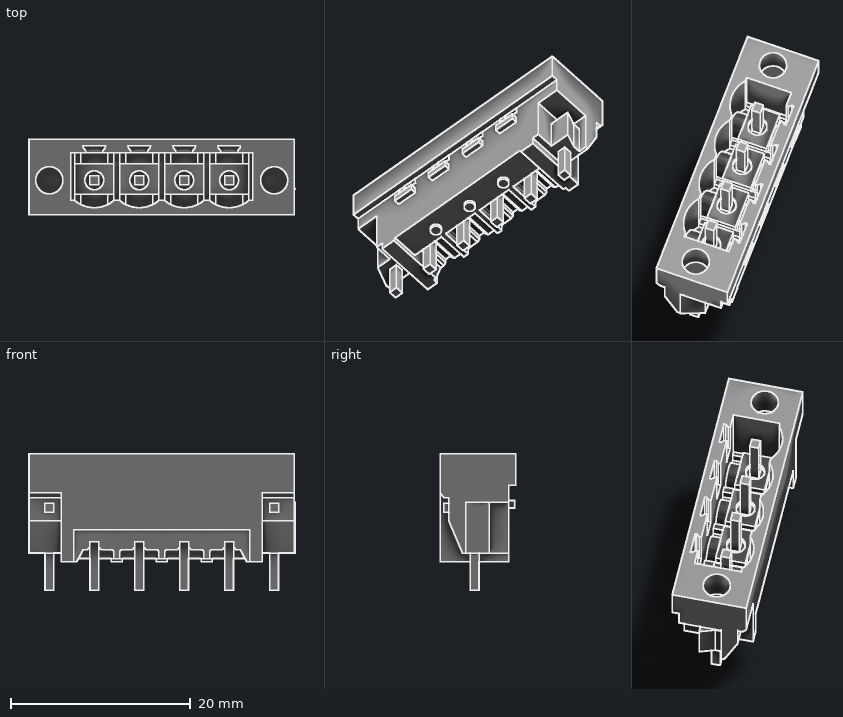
import cadquery as cq
import math


contact_count = 4
pitch = 5.0
pin_size = 1.0
pin_y = 3.85
pin_tip_z = -3.17
contact_top_z = 11.1
end_pin_x = pitch * (contact_count + 1) / 2
end_pin_top_z = 6.55
end_pin_front_y = 0.4
pin_back_y = pin_y + pin_size / 2

housing_width = 29.55
housing_depth = 8.45
housing_height = 12.05
half_width = housing_width / 2
core_half_width = 11.2
lower_back_y = 7.67
overhang_z = 8.5

end_bottom_z = 0.98
chamfer_top_z = 7.67
plate_top_z = 7.13
plate_bend_z = 4.55
chamfer_y = 0.45
plate_front_y = 0.98
plate_toe_y = 2.5
plate_back_y = 2.85
recess_top_z = 6.63
recess_floor_x = end_pin_x - pin_size / 2

retainer_top_z = 5.03
retainer_bend_y = 3.73
retainer_back_y = 5.45
retainer_inset = 0.95
retainer_back_inset = 0.35
tip_overhang = 0.05

screw_hole_diameter = 3.02
screw_hole_depth = 4.0

cavity_half_width = 10.12
cavity_front_y = 1.6
cavity_back_y = 6.9
rib_top_z = 4.6
cell_floor_z = 3.55
cell_width = 4.35
bulge_front_y = 0.8
hump_radius = 1.5
block_front_y = 2.3
block_back_y = 5.68
block_top_z = 5.48
socket_diameter = 2.1
socket_depth = 0.5

slot_mouth_width = 1.85
slot_back_width = 2.45
slot_neck_y = 7.13
slot_flare_y = 7.45
slot_floor_z = 7.75
lug_top_z = 6.85
lug_bottom_z = 5.98
lug_back_y = 8.32

panel_depth = 0.55
panel_half_width = 9.77
panel_top_z = 3.55
front_bottom_z = 1.33
back_bottom_z = 0.35
foot_toe_half_width = 9.45
foot_root_half_width = 8.75
prong_width = 0.65
prong_fillet = 0.25
notch_top_z = 2.22
notch_chamfer = 0.3
post_diameter = 1.25
post_y = 5.62

contact_xs = [(i - (contact_count - 1) / 2) * pitch for i in range(contact_count)]
gap_xs = [(left + right) / 2 for left, right in zip(contact_xs, contact_xs[1:])]


def box(x_range, y_range, z_range):
    """Box given by its limits along each axis."""
    lengths = [high - low for low, high in (x_range, y_range, z_range)]
    corner = (x_range[0], y_range[0], z_range[0])
    return cq.Workplane("XY").box(*lengths, centered=False).translate(corner)


def centered_box(x, width, y_range, z_range):
    """Box centred on x, with limits along Y and Z."""
    return box((x - width / 2, x + width / 2), y_range, z_range)


def plan_prism(points, z_range):
    """Prism with a polygon in the XY plane."""
    plane = cq.Workplane("XY").workplane(offset=z_range[0])
    return plane.polyline(points).close().extrude(z_range[1] - z_range[0])


def front_prism(points, y_range):
    """Prism with a polygon in the XZ plane."""
    plane = cq.Workplane("XZ", origin=(0, y_range[0], 0))
    return plane.polyline(points).close().extrude(y_range[0] - y_range[1])


def upright_cylinder(x, y, diameter, z_range):
    """Vertical cylinder between two heights."""
    plane = cq.Workplane("XY", origin=(x, y, z_range[0]))
    return plane.circle(diameter / 2).extrude(z_range[1] - z_range[0])


def make_contact_pin(x):
    """Straight square pin from below the board up into the cavity."""
    y_range = (pin_y - pin_size / 2, pin_back_y)
    return centered_box(x, pin_size, y_range, (pin_tip_z, contact_top_z))


def make_end_pin(x):
    """Square pin bent forward at its top, so that its end pokes out of the front plate."""
    leg = centered_box(x, pin_size, (pin_y - pin_size / 2, pin_back_y), (pin_tip_z, end_pin_top_z))
    arm_z = (end_pin_top_z - pin_size, end_pin_top_z)
    return leg.union(centered_box(x, pin_size, (end_pin_front_y, pin_back_y), arm_z))


def make_core():
    """Middle part of the housing, down to the board."""
    return box((-core_half_width, core_half_width), (0, lower_back_y), (0, housing_height))


def make_end_profile():
    """Full-width bar whose side profile has the overhang at the back and the slanted front plate."""
    profile = [
        (0, housing_height),
        (housing_depth, housing_height),
        (housing_depth, overhang_z),
        (lower_back_y, overhang_z),
        (lower_back_y, end_bottom_z),
        (plate_toe_y, end_bottom_z),
        (plate_front_y, plate_bend_z),
        (plate_front_y, plate_top_z),
        (chamfer_y, plate_top_z),
        (0, chamfer_top_z),
    ]
    plane = cq.Workplane("YZ", origin=(-half_width, 0, 0))
    return plane.polyline(profile).close().extrude(housing_width)


def make_side_recess(side):
    """Space behind a front plate, open at the side, the back and the bottom."""
    x_range = sorted((side * recess_floor_x, side * half_width))
    return box(x_range, (plate_back_y, lower_back_y), (end_bottom_z, recess_top_z))


def make_left_retainer():
    """Block around the left end pin with a flat and then a slanted outer face."""
    outline = [
        (-recess_floor_x, plate_back_y),
        (-half_width + retainer_inset, plate_back_y),
        (-half_width + retainer_inset, retainer_bend_y),
        (-half_width + retainer_back_inset, retainer_back_y),
        (-recess_floor_x, retainer_back_y),
    ]
    return plan_prism(outline, (end_bottom_z, retainer_top_z))


def make_right_retainer():
    """Block around the right end pin that tapers back from a tip just outside the front plate."""
    outline = [
        (recess_floor_x, plate_back_y),
        (half_width + tip_overhang, plate_back_y),
        (half_width - retainer_inset, retainer_back_y),
        (recess_floor_x, retainer_back_y),
    ]
    return plan_prism(outline, (end_bottom_z, recess_top_z))


def make_mouth():
    """Open part of the cavity above the ribs between the cells."""
    x_range = (-cavity_half_width, cavity_half_width)
    return box(x_range, (cavity_front_y, cavity_back_y), (rib_top_z, housing_height))


def make_cell(x):
    """Space of one contact cell, with a bulged front wall."""
    left = x - cell_width / 2
    right = x + cell_width / 2
    return (
        cq.Workplane("XY", origin=(0, 0, cell_floor_z))
        .moveTo(left, cavity_front_y)
        .threePointArc((x, bulge_front_y), (right, cavity_front_y))
        .lineTo(right, cavity_back_y)
        .lineTo(left, cavity_back_y)
        .close()
        .extrude(housing_height - cell_floor_z)
    )


def make_cell_core(x):
    """Rounded hump along the cell floor and the block across it that carries the pin."""
    hump_plane = cq.Workplane("XZ", origin=(x, bulge_front_y, cell_floor_z))
    hump = hump_plane.circle(hump_radius).extrude(bulge_front_y - cavity_back_y)
    block = centered_box(x, cell_width, (block_front_y, block_back_y), (cell_floor_z, block_top_z))
    socket = upright_cylinder(x, pin_y, socket_diameter, (block_top_z - socket_depth, block_top_z))
    return hump.union(block).cut(socket)


def make_coding_slot(x):
    """Dovetail slot in the back wall, open through the wall below the overhang."""
    mouth = slot_mouth_width / 2
    back = slot_back_width / 2
    outline = [
        (x - mouth, cavity_back_y),
        (x + mouth, cavity_back_y),
        (x + mouth, slot_neck_y),
        (x + back, slot_flare_y),
        (x + back, lower_back_y),
        (x - back, lower_back_y),
        (x - back, slot_flare_y),
        (x - mouth, slot_neck_y),
    ]
    return plan_prism(outline, (slot_floor_z, housing_height))


def make_back_lug(x):
    """Lug on the back face below a coding slot."""
    return centered_box(x, slot_back_width, (lower_back_y, lug_back_y), (lug_bottom_z, lug_top_z))


def make_slanted_gap(top_z, y_range):
    """Room between the slanted inner sides of the feet, from the board up to a given height."""
    slope = (foot_toe_half_width - foot_root_half_width) / front_bottom_z
    top_half_width = foot_toe_half_width - slope * top_z
    outline = [
        (-foot_toe_half_width, 0),
        (foot_toe_half_width, 0),
        (top_half_width, top_z),
        (-top_half_width, top_z),
    ]
    return front_prism(outline, y_range)


def make_prong(x):
    """Prong that hangs between two pins, filleted where it meets the wall above."""
    half = prong_width / 2
    fillet_z = front_bottom_z - prong_fillet
    arc_offset = prong_fillet * (1 - math.sqrt(0.5))
    arc_middle_z = front_bottom_z - arc_offset
    return (
        cq.Workplane("XZ", origin=(x, panel_depth, 0))
        .moveTo(-half, back_bottom_z)
        .lineTo(half, back_bottom_z)
        .lineTo(half, fillet_z)
        .threePointArc((half + arc_offset, arc_middle_z), (half + prong_fillet, front_bottom_z))
        .lineTo(-half - prong_fillet, front_bottom_z)
        .threePointArc((-half - arc_offset, arc_middle_z), (-half, fillet_z))
        .close()
        .extrude(panel_depth - pin_back_y)
    )


def make_pin_notch(x):
    """Notch from the front wall back to a contact pin, chamfered at its lower edges."""
    half = pin_size / 2
    outline = [
        (x - half, notch_top_z),
        (x + half, notch_top_z),
        (x + half, front_bottom_z + notch_chamfer),
        (x + half + notch_chamfer, front_bottom_z),
        (x - half - notch_chamfer, front_bottom_z),
        (x - half, front_bottom_z + notch_chamfer),
    ]
    return front_prism(outline, (0, pin_back_y))


def make_post(x):
    """Round spacer between two pins that stands on the board."""
    return upright_cylinder(x, post_y, post_diameter, (0, back_bottom_z))


def make_housing(pins):
    housing = make_core().union(make_end_profile())
    for side in (-1, 1):
        housing = housing.cut(make_side_recess(side))
    housing = housing.union(make_left_retainer()).union(make_right_retainer())

    housing = housing.cut(make_mouth())
    for x in contact_xs:
        housing = housing.cut(make_cell(x)).union(make_cell_core(x))
        housing = housing.cut(make_coding_slot(x)).union(make_back_lug(x))
    for side in (-1, 1):
        hole_z = (housing_height - screw_hole_depth, housing_height)
        housing = housing.cut(upright_cylinder(side * end_pin_x, pin_y, screw_hole_diameter, hole_z))

    housing = housing.cut(box((-panel_half_width, panel_half_width), (0, panel_depth), (0, panel_top_z)))
    housing = housing.cut(make_slanted_gap(front_bottom_z, (0, pin_back_y)))
    housing = housing.cut(make_slanted_gap(back_bottom_z, (pin_back_y, lower_back_y)))
    for x in contact_xs:
        housing = housing.cut(make_pin_notch(x))
    for x in gap_xs:
        housing = housing.union(make_prong(x)).union(make_post(x))

    for pin in pins:
        housing = housing.cut(pin)
    return housing


contact_pins = [make_contact_pin(x) for x in contact_xs]
end_pins = [make_end_pin(side * end_pin_x) for side in (-1, 1)]
housing = make_housing(contact_pins + end_pins)

result = cq.Compound.makeCompound([housing.solids().val(), *[pin.val() for pin in contact_pins + end_pins]])